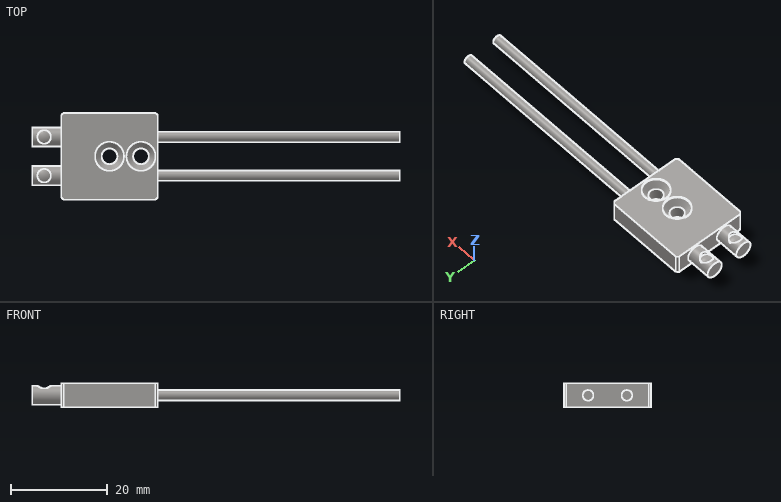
import cadquery as cq
import math

BLOCK_LENGTH = 20.0
BLOCK_WIDTH = 18.0
BLOCK_HEIGHT = 5.0
CORNER_CHAMFER = 0.5

SCREW_HOLE_DIAMETER = 3.2
COUNTERSINK_DIAMETER = 6.0
COUNTERSINK_ANGLE = 90.0
COUNTERSINK_LIP = 0.3
FIRST_HOLE_X = 10.0
HOLE_SPACING = 6.5

LINE_SPACING = 8.0
LINE_POSITIONS = (-LINE_SPACING / 2, LINE_SPACING / 2)

PLUG_DIAMETER = 4.0
PLUG_LENGTH = 6.0

POCKET_DIAMETER = 2.8
POCKET_FROM_TIP = 2.5
DOME_RADIUS = 2.5
DOME_TOP_HEIGHT = 1.5

WIRE_DIAMETER = 2.2
WIRE_LENGTH = 50.0


def make_screw_hole(x):
    """Cutter for one screw hole: through bore, cone, and a short straight lip at the top."""
    bore_radius = SCREW_HOLE_DIAMETER / 2
    head_radius = COUNTERSINK_DIAMETER / 2
    cone_depth = (head_radius - bore_radius) / math.tan(math.radians(COUNTERSINK_ANGLE / 2))
    top = BLOCK_HEIGHT / 2
    cone_top = top - COUNTERSINK_LIP
    profile = [
        (0, -top),
        (bore_radius, -top),
        (bore_radius, cone_top - cone_depth),
        (head_radius, cone_top),
        (head_radius, top),
        (0, top),
    ]
    return cq.Workplane("XZ", origin=(x, 0, 0)).polyline(profile).close().revolve(360, (0, 0), (0, 1))


def make_block():
    """Flat block with chamfered upright edges and two countersunk holes."""
    block = (
        cq.Workplane("XY")
        .box(BLOCK_LENGTH, BLOCK_WIDTH, BLOCK_HEIGHT, centered=(False, True, True))
        .edges("|Z")
        .chamfer(CORNER_CHAMFER)
    )
    for x in (FIRST_HOLE_X, FIRST_HOLE_X + HOLE_SPACING):
        block = block.cut(make_screw_hole(x))
    return block


def make_plug(y):
    """Round plug ending on the block, with a dome-floored round pocket in its top."""
    plug = cq.Workplane("YZ", origin=(-PLUG_LENGTH, y, 0)).circle(PLUG_DIAMETER / 2).extrude(PLUG_LENGTH)
    pocket_x = POCKET_FROM_TIP - PLUG_LENGTH
    dome = cq.Workplane("XY", origin=(pocket_x, y, DOME_TOP_HEIGHT - DOME_RADIUS)).sphere(DOME_RADIUS)
    pocket = (
        cq.Workplane("XY", origin=(pocket_x, y, 0))
        .circle(POCKET_DIAMETER / 2)
        .extrude(PLUG_DIAMETER / 2)
        .cut(dome)
    )
    return plug.cut(pocket)


def make_wire(y):
    """Straight round wire leaving the face opposite the plugs."""
    return cq.Workplane("YZ", origin=(BLOCK_LENGTH, y, 0)).circle(WIRE_DIAMETER / 2).extrude(WIRE_LENGTH)


block = make_block()
plugs = [make_plug(y) for y in LINE_POSITIONS]
wires = [make_wire(y) for y in LINE_POSITIONS]

result = cq.Compound.makeCompound(
    [block.val(), *[plug.val() for plug in plugs], *[wire.val() for wire in wires]]
)